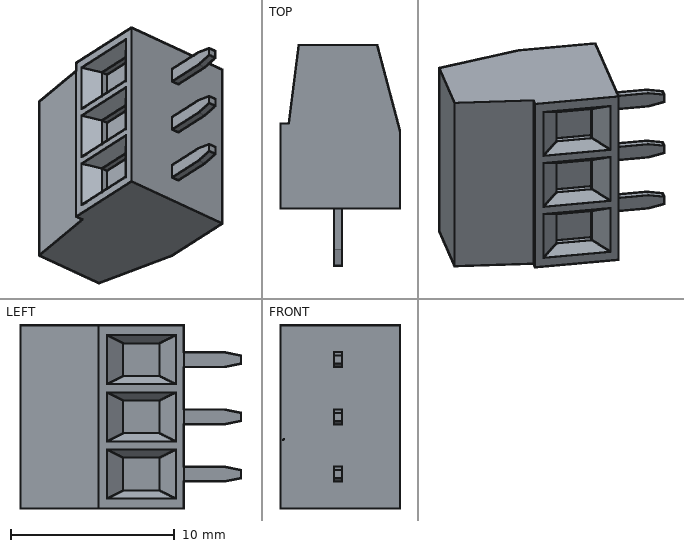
import cadquery as cq

pole_count = 3
pitch = 3.5

housing_width = 7.3
housing_depth = 10.0
housing_height = 11.2
step_depth = 5.21
step_width = 0.5
back_left_inset = 1.11
back_right_inset = 1.39
plain_side_depth = 4.77

pin_length = 3.5
pin_width = 0.5
pin_height = 0.9
pin_tip_height = 0.5
pin_taper_length = 1.0
pin_center_x = 3.51

mouth_front_gap = 0.5
mouth_length = 4.2
mouth_height = 3.0
pocket_front_gap = 1.5
pocket_length = 2.21
pocket_height = 2.0
mouth_depth = 0.8
pocket_depth = 0.4

pole_heights = [(i - (pole_count - 1) / 2) * pitch for i in range(pole_count)]


def make_housing():
    outline = [
        (0, 0),
        (housing_width, 0),
        (housing_width, plain_side_depth),
        (housing_width - back_right_inset, housing_depth),
        (back_left_inset, housing_depth),
        (step_width, step_depth),
        (0, step_depth),
    ]
    return cq.Workplane("XY").polyline(outline).close().extrude(housing_height / 2, both=True)


def make_pin(z):
    taper_start = pin_taper_length - pin_length
    half_height = pin_height / 2
    half_tip = pin_tip_height / 2
    outline = [
        (0, z - half_height),
        (0, z + half_height),
        (taper_start, z + half_height),
        (-pin_length, z + half_tip),
        (-pin_length, z - half_tip),
        (taper_start, z - half_height),
    ]
    return (
        cq.Workplane("YZ", origin=(pin_center_x, 0, 0))
        .polyline(outline).close().extrude(pin_width / 2, both=True)
    )


def make_wire_entry(z):
    mouth_y = mouth_front_gap + mouth_length / 2
    pocket_y = pocket_front_gap + pocket_length / 2
    mouth = (
        cq.Workplane("YZ", origin=(0, mouth_y, z))
        .rect(mouth_length, mouth_height)
        .workplane(offset=mouth_depth).center(pocket_y - mouth_y, 0)
        .rect(pocket_length, pocket_height)
        .loft(ruled=True)
    )
    pocket = (
        cq.Workplane("YZ", origin=(mouth_depth, pocket_y, z))
        .rect(pocket_length, pocket_height).extrude(pocket_depth)
    )
    return mouth.union(pocket)


result = make_housing()
for pole_z in pole_heights:
    result = result.union(make_pin(pole_z)).cut(make_wire_entry(pole_z))